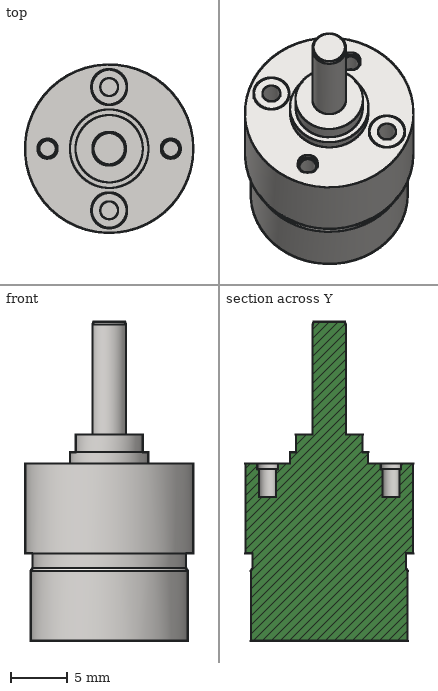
import cadquery as cq

overall_height = 28.4
motor_diameter = 14.0
motor_height = 6.48
motor_chamfer_height = 0.25
neck_diameter = 13.7
neck_height = 1.3
gearbox_diameter = 15.0
gearbox_height = 8.0
collar_diameter = 7.0
collar_height = 1.0
bearing_diameter = 6.0
bearing_height = 1.6
shaft_diameter = 3.0
shaft_chamfer_height = 0.28
shaft_tip_diameter = 2.78

hole_circle_radius = 5.48
screw_pocket_diameter = 3.2
screw_head_diameter = 3.1
screw_pocket_depth = 1.0
screw_socket_diameter = 1.6
mount_recess_diameter = 1.8
mount_recess_depth = 0.5
mount_hole_diameter = 1.48
hole_depth = 2.98

neck_bottom = motor_height
gearbox_bottom = neck_bottom + neck_height
gearbox_top = gearbox_bottom + gearbox_height
collar_top = gearbox_top + collar_height
bearing_top = collar_top + bearing_height


def turned_body():
    """Stepped body of revolution: motor, neck, gearbox, collar, bearing and shaft."""
    profile = [
        (0, 0),
        (motor_diameter / 2, 0),
        (motor_diameter / 2, motor_height - motor_chamfer_height),
        (neck_diameter / 2, neck_bottom),
        (neck_diameter / 2, gearbox_bottom),
        (gearbox_diameter / 2, gearbox_bottom),
        (gearbox_diameter / 2, gearbox_top),
        (collar_diameter / 2, gearbox_top),
        (collar_diameter / 2, collar_top),
        (bearing_diameter / 2, collar_top),
        (bearing_diameter / 2, bearing_top),
        (shaft_diameter / 2, bearing_top),
        (shaft_diameter / 2, overall_height - shaft_chamfer_height),
        (shaft_tip_diameter / 2, overall_height),
        (0, overall_height),
    ]
    return cq.Workplane("XZ").polyline(profile).close().revolve(360, (0, 0), (0, 1))


def gearbox_face(points):
    """Workplane on the gearbox top face with the given hole centres."""
    return cq.Workplane("XY", origin=(0, 0, gearbox_top)).pushPoints(points)


def screw_cutters():
    """Thin ring gap around each flush screw head, with a round socket in the head."""
    centres = [(0, hole_circle_radius), (0, -hole_circle_radius)]
    gap = (
        gearbox_face(centres)
        .circle(screw_pocket_diameter / 2)
        .circle(screw_head_diameter / 2)
        .extrude(-screw_pocket_depth)
    )
    socket = gearbox_face(centres).circle(screw_socket_diameter / 2).extrude(-hole_depth)
    return gap.union(socket)


def mount_cutters():
    """Mounting holes, each with a shallow wider recess at its mouth."""
    centres = [(hole_circle_radius, 0), (-hole_circle_radius, 0)]
    recess = gearbox_face(centres).circle(mount_recess_diameter / 2).extrude(-mount_recess_depth)
    hole = gearbox_face(centres).circle(mount_hole_diameter / 2).extrude(-hole_depth)
    return recess.union(hole)


result = turned_body().cut(screw_cutters()).cut(mount_cutters())